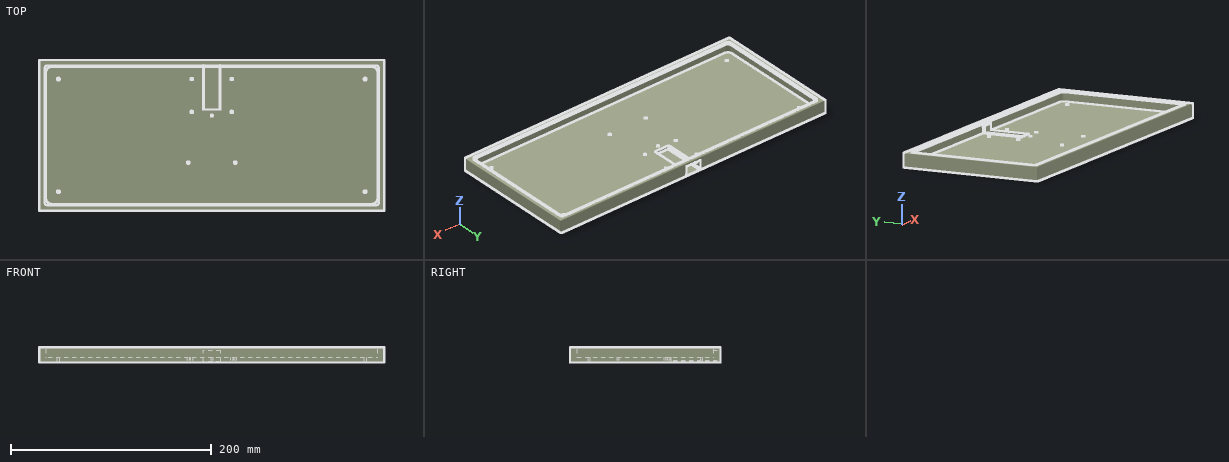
import cadquery as cq
length = 344.2
width = 150.5
height = 15.5
edge_radius = 1.0

ledge_inset = 5.5
ledge_width = 1.55
wall = ledge_inset + ledge_width
ledge_depth = 1.0
floor_thickness = 5.0
cavity_corner_radius = 4.8
ledge_corner_radius = 3.0

channel_width = 18.0
channel_front_y = 25.8
channel_floor = 1.0
channel_roof = 12.0
channel_edge_chamfer = 1.0

corner_hole_diameter = 2.3
corner_hole_x = 152.8
corner_hole_y = 56.0
board_hole_diameter = 2.3
center_hole_diameter = 2.0
board_hole_depth = 2.8
board_hole_x = 20.0
board_hole_rows = (23.5, corner_hole_y)
front_hole_x = 23.5
front_hole_y = -27.2
center_hole_y = 19.5


def rounded_pocket(inset, bottom, radius):
    """Rounded rectangular cutter, inset from the outer sides and open at the top."""
    return (
        cq.Workplane("XY", origin=(0, 0, bottom))
        .rect(length - 2 * inset, width - 2 * inset)
        .extrude(height - bottom)
        .edges("|Z")
        .fillet(radius)
    )


def holes(points, diameter, bottom):
    """Vertical cutters from the given level up to the cavity floor."""
    return (
        cq.Workplane("XY", origin=(0, 0, bottom))
        .pushPoints(points)
        .circle(diameter / 2)
        .extrude(floor_thickness - bottom)
    )


def mirrored(x, y):
    """A pair of points on both sides of the YZ plane."""
    return [(-x, y), (x, y)]


body = cq.Workplane("XY").box(length, width, height, centered=(True, True, False))
body = body.edges().fillet(edge_radius)

cavity = rounded_pocket(wall, floor_thickness, cavity_corner_radius)
ledge = rounded_pocket(ledge_inset, height - ledge_depth, ledge_corner_radius)

channel = (
    cq.Workplane("XY", origin=(0, channel_front_y, channel_floor))
    .box(
        channel_width,
        width / 2 - channel_front_y,
        channel_roof - channel_floor,
        centered=(True, False, False),
    )
    .edges("|Y and <Z")
    .chamfer(channel_edge_chamfer)
)

corner_points = mirrored(corner_hole_x, corner_hole_y) + mirrored(corner_hole_x, -corner_hole_y)
board_points = mirrored(front_hole_x, front_hole_y)
for row_y in board_hole_rows:
    board_points += mirrored(board_hole_x, row_y)

corner_holes = holes(corner_points, corner_hole_diameter, 0)
board_hole_bottom = floor_thickness - board_hole_depth
board_holes = holes(board_points, board_hole_diameter, board_hole_bottom)
center_hole = holes([(0, center_hole_y)], center_hole_diameter, board_hole_bottom)

result = body.cut(cavity).cut(ledge).cut(channel)
result = result.cut(corner_holes).cut(board_holes).cut(center_hole)